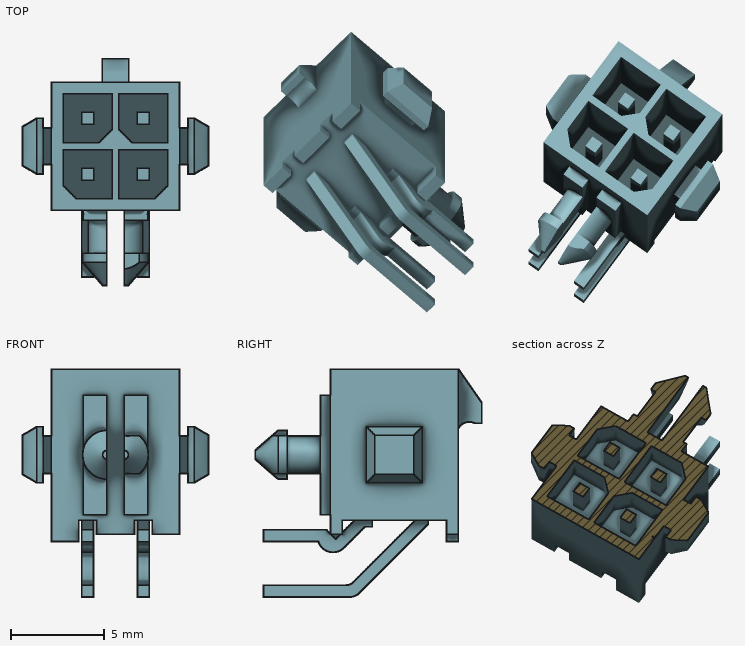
import cadquery as cq
import math


body_side = 6.88
body_height = 8.13
half_side = body_side / 2

pitch = 3.0
socket_side = 2.63
socket_chamfer = 0.71
socket_depth = 6.12
pin_width = 0.65
pin_top_below_opening = 2.45
pin_reach = 3.59
pin_top = body_height - pin_top_below_opening
pin_end = -half_side - pin_reach
diagonal = math.sqrt(0.5)
slant_height = pin_width / diagonal

foot_thickness = 0.65
foot_height = 1.14
short_foot_height = 0.75
pin_gap = 0.94

rib_width = 1.26
rib_spacing = 0.92
rib_depth = 0.54
rib_bottom = 0.29
rib_top = 6.72
peg_height = 3.53
peg_radius = 1.02
peg_head_radius = 1.31
peg_tip_radius = 0.23
peg_head_start = 2.31
peg_cone_start = 2.8
peg_reach = 4.04

overall_width = 10.0
lug_height = peg_height
lug_neck_y, lug_neck_z = 1.97, 2.02
lug_head_y, lug_head_z = 3.0, 3.01
lug_neck_length = 0.44
lug_rim = 0.34
lug_bevel = 0.45

latch_width = 1.45
latch_reach = 1.26
latch_ramp_drop = 1.81
latch_lip_drop = 2.91
latch_root_drop = 3.18
latch_lip_start = 0.88
latch_hollow_y = 0.34
latch_hollow_drop = 2.89

long_pin_bottom = -4.11
long_pin_knee = -0.2
long_inner_radius = 0.49
long_outer_radius = 0.73

short_pin_bottom = -1.14
short_pin_knee = -0.34
dip_radius = 0.83
dip_y = -half_side + 0.15
dip_z = -0.88
dip_exit_y = -half_side - 0.22

overlap = 0.12


def block(x_range, y_range, z_range):
    """Box between the given limits along X, Y and Z."""
    size = [high - low for low, high in (x_range, y_range, z_range)]
    return cq.Workplane("XY").box(*size, centered=False).translate(
        (x_range[0], y_range[0], z_range[0])
    )


def make_socket(column, row):
    """Socket volume with one front corner cut: the outer one in the front row, the inner one behind."""
    pocket = (
        cq.Workplane("XY")
        .center(column * pitch / 2, row * pitch / 2)
        .workplane(offset=body_height - socket_depth)
        .rect(socket_side, socket_side)
        .extrude(socket_depth)
    )
    corner_side = column if row < 0 else -column
    return pocket.edges("|Z and <Y").edges(">X" if corner_side > 0 else "<X").chamfer(socket_chamfer)


def make_housing():
    """Block with four sockets open at the top."""
    side_range = (-half_side, half_side)
    housing = block(side_range, side_range, (0, body_height))
    for column in (-1, 1):
        for row in (-1, 1):
            housing = housing.cut(make_socket(column, row))
    return housing


def make_feet():
    """Front and back rows of feet, notched around the pins."""
    notch_outer = pitch / 2 + pin_gap / 2
    notch_inner = pitch / 2 - pin_gap / 2
    spans = (
        (-half_side, -notch_outer, foot_height),
        (-notch_inner, notch_inner, short_foot_height),
        (notch_outer, half_side, short_foot_height),
    )
    feet = cq.Workplane("XY")
    for y_front in (-half_side, half_side - foot_thickness):
        for x_left, x_right, height in spans:
            feet = feet.union(
                block((x_left, x_right), (y_front, y_front + foot_thickness), (-height, overlap))
            )
    return feet


def make_ribs():
    """Two upright ribs on the front face."""
    ribs = cq.Workplane("XY")
    inner = rib_spacing / 2
    outer = inner + rib_width
    for x_range in ((-outer, -inner), (inner, outer)):
        ribs = ribs.union(
            block(x_range, (-half_side - rib_depth, -half_side + overlap), (rib_bottom, rib_top))
        )
    return ribs


def make_half_peg(side):
    """Half of a pointed peg whose axis lies on the inner face of the rib on that side."""
    profile = [
        (0, -overlap),
        (peg_radius, -overlap),
        (peg_radius, peg_head_start),
        (peg_head_radius, peg_head_start),
        (peg_head_radius, peg_cone_start),
        (peg_tip_radius, peg_reach),
        (0, peg_reach),
    ]
    axis_x = side * rib_spacing / 2
    peg = (
        cq.Workplane("XY")
        .polyline([(radius, -distance) for radius, distance in profile])
        .close()
        .revolve(360, (0, 0, 0), (0, 1, 0))
        .translate((axis_x, -half_side, peg_height))
    )
    outer_x = axis_x + side * peg_head_radius
    half_height = peg_radius if side > 0 else peg_head_radius
    keep = block(
        (min(axis_x, outer_x), max(axis_x, outer_x)),
        (-half_side - peg_reach, -half_side + overlap),
        (peg_height - half_height, peg_height + half_height),
    )
    return peg.intersect(keep)


def make_lug(side):
    """Square lug on a neck, tapering to its outer end."""
    rim_x = half_side + lug_neck_length
    bevel_x = rim_x + lug_rim
    plane = cq.Plane(origin=(0, 0, lug_height), xDir=(0, 1, 0), normal=(side, 0, 0))
    lug = (
        cq.Workplane(plane)
        .workplane(offset=half_side - overlap)
        .rect(lug_neck_y, lug_neck_z)
        .extrude(lug_neck_length + overlap)
    )
    rim = cq.Workplane(plane).workplane(offset=rim_x).rect(lug_head_y, lug_head_z).extrude(lug_rim)
    taper = (
        cq.Workplane(plane)
        .workplane(offset=bevel_x)
        .rect(lug_head_y, lug_head_z)
        .workplane(offset=overall_width / 2 - bevel_x)
        .rect(lug_head_y - 2 * lug_bevel, lug_head_z - 2 * lug_bevel)
        .loft(ruled=True)
    )
    return lug.union(rim).union(taper)


def make_latch():
    """Ramp on the back face with a hollow under its lip."""
    return (
        cq.Workplane("YZ", origin=(0, half_side, body_height))
        .moveTo(-overlap, 0)
        .lineTo(0, 0)
        .lineTo(latch_reach, -latch_ramp_drop)
        .lineTo(latch_reach, -latch_lip_drop)
        .lineTo(latch_lip_start, -latch_lip_drop)
        .threePointArc((latch_hollow_y, -latch_hollow_drop), (0, -latch_root_drop))
        .lineTo(-overlap, -latch_root_drop)
        .close()
        .extrude(latch_width / 2, both=True)
    )


def make_long_pin(column):
    """Back-row pin: down, 45 degrees forward, then horizontal."""
    back_y = pitch / 2 + pin_width / 2
    front_y = back_y - pin_width
    inner_knee = long_pin_knee + slant_height - pin_width
    run_top = long_pin_bottom + pin_width
    outer_bend_y = back_y - (long_pin_knee - long_pin_bottom)
    inner_bend_y = front_y - (inner_knee - run_top)

    pin = (
        cq.Workplane("YZ", origin=(column * pitch / 2, 0, 0))
        .polyline([
            (back_y, pin_top),
            (back_y, long_pin_knee),
            (outer_bend_y, long_pin_bottom),
            (pin_end, long_pin_bottom),
            (pin_end, run_top),
            (inner_bend_y, run_top),
            (front_y, inner_knee),
            (front_y, pin_top),
        ])
        .close()
        .extrude(pin_width / 2, both=True)
    )
    bends = (
        (outer_bend_y, long_pin_bottom, long_outer_radius),
        (inner_bend_y, run_top, long_inner_radius),
    )
    for bend_y, bend_z, radius in bends:
        corner = cq.selectors.NearestToPointSelector((column * pitch / 2, bend_y, bend_z))
        pin = pin.edges("|X").edges(corner).fillet(radius)
    return pin


def make_short_pin(column):
    """Front-row pin: down, 45 degrees forward, a rounded dip, then horizontal."""
    row_y = -pitch / 2
    back_y = row_y + pin_width / 2
    front_y = row_y - pin_width / 2
    run_top = short_pin_bottom + pin_width

    tangent_y = dip_y + dip_radius * diagonal
    tangent_z = dip_z - dip_radius * diagonal
    slant_start_y = tangent_y + (short_pin_knee - tangent_z)
    exit_y = dip_y - math.sqrt(dip_radius**2 - (dip_z - short_pin_bottom) ** 2)

    falling = tangent_z - tangent_y + slant_height
    rising = run_top + dip_exit_y
    valley_y = (rising - falling) / 2
    return (
        cq.Workplane("YZ", origin=(column * pitch / 2, 0, 0))
        .moveTo(back_y, pin_top)
        .lineTo(back_y, short_pin_knee)
        .lineTo(slant_start_y, short_pin_knee)
        .lineTo(tangent_y, tangent_z)
        .threePointArc((dip_y, dip_z - dip_radius), (exit_y, short_pin_bottom))
        .lineTo(pin_end, short_pin_bottom)
        .lineTo(pin_end, run_top)
        .lineTo(dip_exit_y, run_top)
        .lineTo(valley_y, valley_y + falling)
        .lineTo(front_y, front_y + falling)
        .lineTo(front_y, pin_top)
        .close()
        .extrude(pin_width / 2, both=True)
    )


result = make_housing().union(make_feet()).union(make_ribs()).union(make_latch())
for side in (-1, 1):
    result = result.union(make_half_peg(side))
    result = result.union(make_lug(side))
    result = result.union(make_long_pin(side))
    result = result.union(make_short_pin(side))